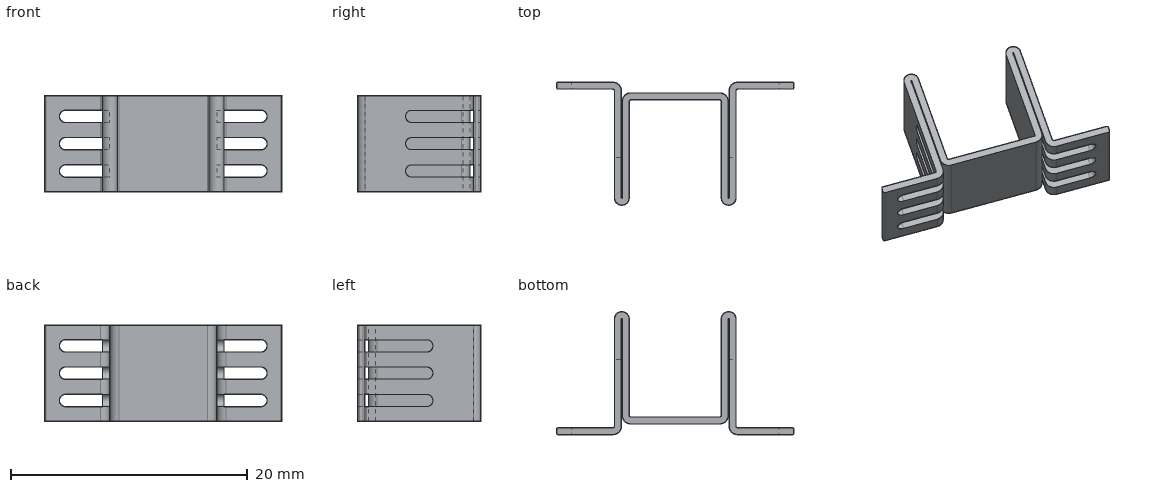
import cadquery as cq

width = 20.07
depth = 10.42
height = 8.13

sheet = 0.6
fold_gap = 0.06
bend_inner = 0.15
bend_outer = bend_inner + sheet
edge_radius = 0.15
leg_center = 4.52
web_setback = 0.9

slot_count = 3
slot_pitch = 2.3
slot_width = 1.02
slot_side_margin = 1.26
slot_leg_depth = 6.36

end_x = width / 2
slit_inner_x = leg_center - fold_gap / 2
slit_outer_x = leg_center + fold_gap / 2
leg_inner_x = slit_inner_x - sheet
leg_outer_x = slit_outer_x + sheet
fold_outer = sheet + fold_gap / 2
flange_back = depth / 2
flange_front = flange_back - sheet
web_back = flange_back - web_setback
web_front = web_back - sheet
fold_y = -depth / 2 + fold_outer


def make_half_strip():
    """Half of the bent strip, from the middle plane to one flange end."""
    outline = (
        cq.Workplane("XY", origin=(0, 0, -height / 2))
        .moveTo(0, web_front)
        .lineTo(leg_inner_x - bend_inner, web_front)
        .tangentArcPoint((leg_inner_x, web_front - bend_inner), relative=False)
        .lineTo(leg_inner_x, fold_y)
        .threePointArc((leg_center, fold_y - fold_outer), (leg_outer_x, fold_y))
        .lineTo(leg_outer_x, flange_front - bend_inner)
        .tangentArcPoint((leg_outer_x + bend_inner, flange_front), relative=False)
        .lineTo(end_x - edge_radius, flange_front)
        .tangentArcPoint((end_x, flange_front + edge_radius), relative=False)
        .lineTo(end_x, flange_back - edge_radius)
        .tangentArcPoint((end_x - edge_radius, flange_back), relative=False)
        .lineTo(slit_outer_x + bend_outer, flange_back)
        .tangentArcPoint((slit_outer_x, flange_back - bend_outer), relative=False)
        .lineTo(slit_outer_x, fold_y)
        .threePointArc((leg_center, fold_y - fold_gap / 2), (slit_inner_x, fold_y))
        .lineTo(slit_inner_x, web_back - bend_outer)
        .tangentArcPoint((slit_inner_x - bend_outer, web_back), relative=False)
        .lineTo(0, web_back)
        .close()
    )
    return outline.extrude(height)


def make_slot_cutter(z):
    """L-shaped cutter with round ends: one arm for the flange, one for the leg."""
    radius = slot_width / 2
    flange_end_x = end_x - slot_side_margin - radius
    leg_end_y = flange_back - slot_leg_depth + radius
    arm_front = flange_front - bend_inner
    arm_right = leg_outer_x + bend_inner

    def arm(x_min, x_max, y_min, y_max):
        size = (x_max - x_min, y_max - y_min, slot_width)
        return cq.Workplane("XY", origin=(x_min, y_min, z)).box(*size, centered=(False, False, True))

    flange_arm = arm(leg_center, flange_end_x, arm_front, flange_back)
    leg_arm = arm(leg_center, arm_right, leg_end_y, flange_back)
    flange_round = (
        cq.Workplane("XZ", origin=(flange_end_x, flange_back, z)).circle(radius).extrude(flange_back - arm_front)
    )
    leg_round = (
        cq.Workplane("YZ", origin=(leg_center, leg_end_y, z)).circle(radius).extrude(arm_right - leg_center)
    )
    return flange_arm.union(leg_arm).union(flange_round).union(leg_round)


half = make_half_strip()
for index in range(slot_count):
    slot_z = (index - (slot_count - 1) / 2) * slot_pitch
    half = half.cut(make_slot_cutter(slot_z))

result = half.union(half.mirror("YZ")).clean()